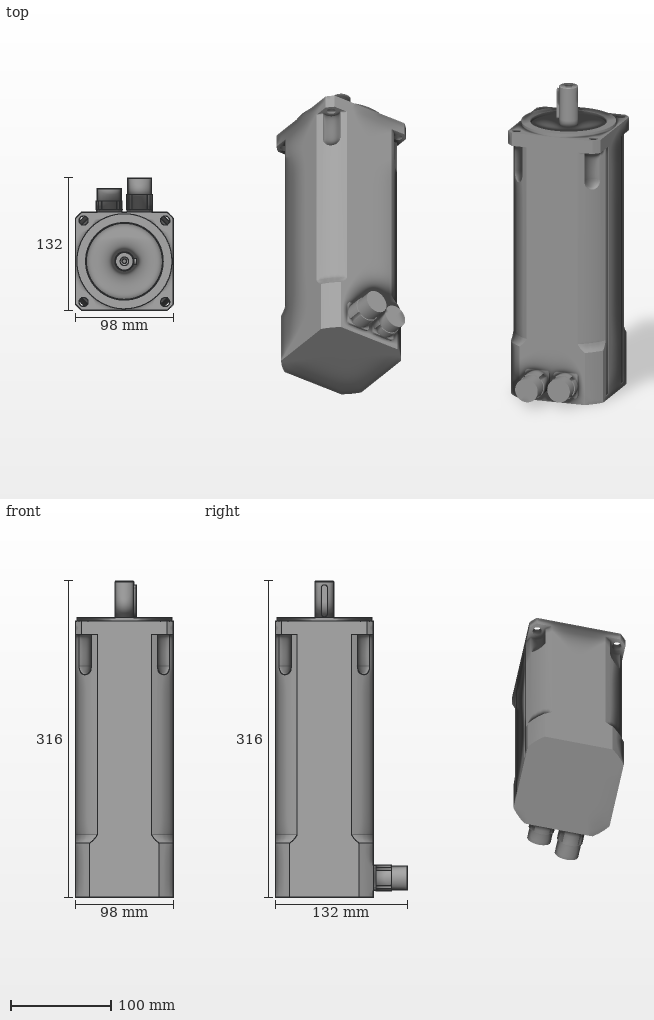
import cadquery as cq


side = 98.0
half_side = side / 2
flange_top = 276.0
flange_thickness = 13.5
flange_bottom = flange_top - flange_thickness
flange_corner_diameter = 130.0
pilot_diameter = 95.0
pilot_height = 3.5
pilot_top = flange_top + pilot_height
recess_diameter = 76.0
recess_depth = 4.0
recess_chamfer = 0.8

foot_corner_diameter = 120.0
upper_corner_diameter = 112.0
taper_bottom = 54.3
taper_top = 62.8
taper_hollow = 0.6

bolt_circle_diameter = 115.0
bolt_hole_diameter = 9.0
pocket_diameter = 18.0
pocket_ball_height = 231.3

groove_inner_edge = 18.2
groove_outer_edge = 26.2
groove_bottom = 4.7
groove_depth = 1.0

shaft_diameter = 19.0
shaft_length = 40.0
shaft_top = flange_top + shaft_length
shaft_chamfer = 0.7
center_hole_diameter = 8.5
center_hole_floor_diameter = 4.5
center_hole_depth = 2.5
key_width = 6.0
key_length = 32.0
key_reach = 12.0
key_end_gap = 3.7
key_top = shaft_top - key_end_gap

connector_spacing = 30.3
connector_height = 19.5
base_side = 25.4
base_corner_radius = 3.0
base_length = 2.5
nut_diameter = 26.0
barrel_diameter = 24.0
small_nut_length = 8.7
small_connector_length = 23.5
large_nut_length = 15.3
large_connector_length = 34.0
nut_groove_count = 4
nut_groove_diameter = 4.0


def cylinder(diameter, bottom, top):
    return cq.Workplane("XY").workplane(offset=bottom).circle(diameter / 2).extrude(top - bottom)


def cone(bottom_diameter, bottom, top_diameter, top):
    return (
        cq.Workplane("XY").workplane(offset=bottom).circle(bottom_diameter / 2)
        .workplane(offset=top - bottom).circle(top_diameter / 2).loft(ruled=True)
    )


def square_block(bottom, top):
    return cq.Workplane("XY").workplane(offset=bottom).rect(side, side).extrude(top - bottom)


def housing_shell():
    """Square column and flange with turned corners, and the round pilot on top."""
    foot_radius = foot_corner_diameter / 2
    upper_radius = upper_corner_diameter / 2
    flange_radius = flange_corner_diameter / 2
    taper_middle_radius = (foot_radius + upper_radius) / 2 - taper_hollow
    taper_middle_height = (taper_bottom + taper_top) / 2
    corner_envelope = (
        cq.Workplane("XZ").lineTo(foot_radius, 0).lineTo(foot_radius, taper_bottom)
        .threePointArc((taper_middle_radius, taper_middle_height), (upper_radius, taper_top))
        .lineTo(upper_radius, flange_bottom).lineTo(flange_radius, flange_bottom)
        .lineTo(flange_radius, flange_top).lineTo(0, flange_top).close()
        .revolve(360, (0, 0, 0), (0, 1, 0))
    )
    column = square_block(0, flange_top).intersect(corner_envelope)
    return column.union(cylinder(pilot_diameter, flange_top, pilot_top))


def pilot_recess():
    """Round recess in the pilot face with a chamfered rim."""
    rim_diameter = recess_diameter + 2 * recess_chamfer
    rim = cone(recess_diameter, pilot_top - recess_chamfer, rim_diameter, pilot_top)
    return cylinder(recess_diameter, pilot_top - recess_depth, pilot_top).union(rim)


def bolt_cutter():
    """Flange hole with the ball-ended pocket below it, on the Z axis."""
    hole = cylinder(bolt_hole_diameter, flange_bottom, flange_top)
    pocket = cylinder(pocket_diameter, pocket_ball_height, flange_bottom)
    ball = cq.Workplane("XY").sphere(pocket_diameter / 2).translate((0, 0, pocket_ball_height))
    return hole.union(pocket).union(ball)


def side_groove(y_sign):
    width = groove_outer_edge - groove_inner_edge
    y_center = y_sign * (groove_outer_edge + groove_inner_edge) / 2
    return (
        cq.Workplane("XY").workplane(offset=groove_bottom)
        .center(-half_side + groove_depth / 2, y_center)
        .rect(groove_depth, width).extrude(flange_bottom - groove_bottom)
    )


def shaft_with_key():
    """Shaft standing on the recess floor, with a round-ended key on +X and a center hole."""
    shaft = cylinder(shaft_diameter, pilot_top - recess_depth, shaft_top)
    shaft = shaft.faces(">Z").chamfer(shaft_chamfer)
    key = (
        cq.Workplane("YZ").center(0, key_top - key_length / 2)
        .slot2D(key_length, key_width, 90).extrude(key_reach)
    )
    center_hole = cone(
        center_hole_floor_diameter, shaft_top - center_hole_depth, center_hole_diameter, shaft_top
    )
    return shaft.union(key).cut(center_hole)


def make_motor():
    motor = housing_shell().cut(pilot_recess())
    bolt_radius = bolt_circle_diameter / 2
    for angle in (45, 135, 225, 315):
        cutter = bolt_cutter().translate((bolt_radius, 0, 0))
        motor = motor.cut(cutter.rotate((0, 0, 0), (0, 0, 1), angle))
    for y_sign in (-1, 1):
        motor = motor.cut(side_groove(y_sign))
    return motor.union(shaft_with_key())


def make_connector(nut_length, total_length):
    """Connector along +Z from its seat: rounded square base, grooved nut, plain barrel."""
    nut_top = base_length + nut_length
    base = cq.Workplane("XY").rect(base_side, base_side).extrude(base_length)
    base = base.edges("|Z").fillet(base_corner_radius)
    nut = cylinder(nut_diameter, base_length, nut_top)
    groove = (
        cq.Workplane("XY").workplane(offset=base_length)
        .center(nut_diameter / 2, 0)
        .circle(nut_groove_diameter / 2).extrude(nut_length)
    )
    for index in range(nut_groove_count):
        angle = (index + 0.5) * 360 / nut_groove_count
        nut = nut.cut(groove.rotate((0, 0, 0), (0, 0, 1), angle))
    barrel = cylinder(barrel_diameter, nut_top, total_length)
    return base.union(nut).union(barrel)


def seat_connector(connector, x_center):
    """Turn the connector to point along +Y and set it on the back of the housing."""
    turned = connector.rotate((0, 0, 0), (1, 0, 0), -90)
    return turned.translate((x_center, half_side, connector_height))


motor = make_motor()

connectors = [
    seat_connector(make_connector(nut_length, total_length), x_center)
    for nut_length, total_length, x_center in (
        (small_nut_length, small_connector_length, -connector_spacing / 2),
        (large_nut_length, large_connector_length, connector_spacing / 2),
    )
]

result = cq.Compound.makeCompound([motor.val(), *[connector.val() for connector in connectors]])